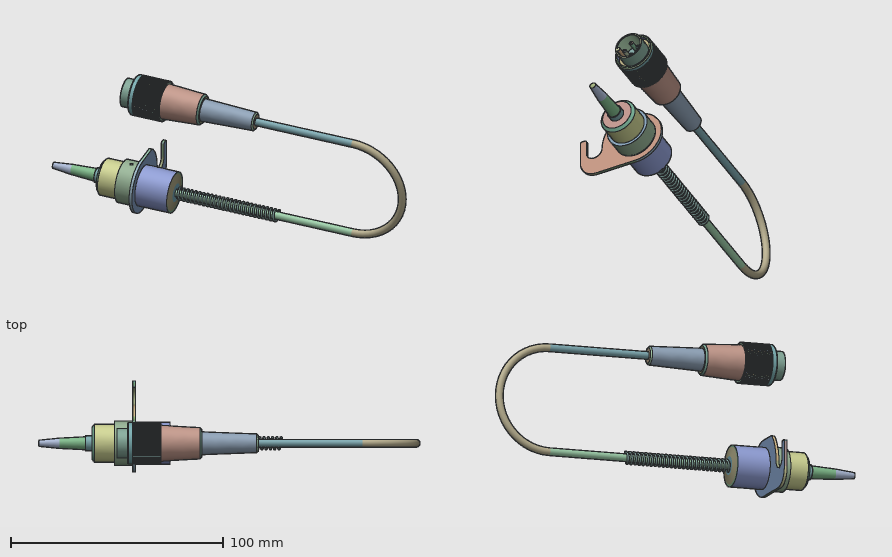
import cadquery as cq
import math

PLUG_HEIGHT = 50.1
TOTAL_LENGTH = 179.7

CABLE_DIA = 3.8

TIP_END_DIA = 3.0
TIP_DOME_HEIGHT = 0.4
TIP_MID_DIA = 5.0
TIP_BASE_DIA = 6.3
STEM_DIA = 7.2
TIP_MID_X = 10.0
STEM_X = 22.3

HOUSING_X = 25.2
NOSE_DIA = 18.0
NOSE_CHAMFER = 1.5
NOSE_CHAMFER_LENGTH = 1.3
COLLAR_X = 35.8
COLLAR_DIA = 21.0
REAR_DIA = 20.0
REAR_EDGE_X = 62.0
REAR_X = 62.9
REAR_FACE_DIA = 9.0
REAR_SHOULDER_DIA = 18.0
VENT_DIA = 1.5
VENT_DEPTH = 1.8
VENT_X = 40.0

BRACKET_X = 44.4
BRACKET_THICKNESS = 1.5
PLATE_DIA = 27.1
PLATE_RADIUS = PLATE_DIA / 2
PLATE_WIDTH = 43.0
HOOK_OUTER_Y = PLATE_WIDTH - PLATE_RADIUS
HOOK_CORNER_RADIUS = 8.5
HOOK_TOP_Z = 7.9
HOOK_ARM_WIDTH = 3.2
HOOK_END_FILLET = 0.9
SLOT_RADIUS = 4.1
SHOULDER_RADIUS = 2.7
FLANK_RADIUS = 18.0

SPRING_DIA = 6.3
SPRING_WIRE = 1.0
SPRING_LENGTH = 51.4
SPRING_TURNS = 25.5
SPRING_PITCH = SPRING_LENGTH / SPRING_TURNS

PLUG_JOINT_X = 57.7
SHELL_X = 37.0
SHELL_DIA = 13.8
SHELL_BORE_DIA = 12.2
SHELL_FLOOR_X = 45.6
KEY_DIA = 2.0
KEY_Y = 5.5
PIN_DIA = 2.0
PIN_CHAMFER = 0.49
PIN_CIRCLE_DIA = 7.0
PIN_X = 39.2
PIN_COUNT = 4

NUT_X = 41.9
NUT_DIA = 19.5
NUT_CHAMFER = 0.5
NUT_RECESS_DIA = 17.0
NUT_RECESS_DEPTH = 2.2
KNURL_X = 44.4
KNURL_DEPTH = 0.4
KNURL_TEETH = 80

BOOT_FRONT_DIA = 17.0
BOOT_STEP_DIA = 15.0
BOOT_STEP_X = 77.0
BOOT_STEP_CHAMFER = 0.9
RELIEF_FRONT_DIA = 11.0
RELIEF_END_DIA = 9.0
BOOT_END_X = 103.5
BOOT_END_CHAMFER = 0.7


def revolve_about_x(points, axis_z=0.0):
    """Solid of revolution about the line z = axis_z from (x, radius) points."""
    profile = cq.Workplane("XZ").polyline(points).close()
    return profile.revolve(360, (0, 0, 0), (1, 0, 0)).translate((0, 0, axis_z))


def rod(x_start, x_end, diameter, y=0.0, z=0.0):
    """Round rod along X."""
    section = cq.Workplane("YZ", origin=(x_start, y, z)).circle(diameter / 2)
    return section.extrude(x_end - x_start)


def arc_point(center_a, center_b, radius, angle):
    """Point of a circle at an angle from its first axis."""
    return (center_a + radius * math.cos(angle), center_b + radius * math.sin(angle))


def make_probe_tip():
    dome_angle = 2 * math.atan(2 * TIP_DOME_HEIGHT / TIP_END_DIA)
    dome_radius = TIP_END_DIA / 2 / math.sin(dome_angle)
    dome_middle = (
        dome_radius * (1 - math.cos(dome_angle / 2)),
        dome_radius * math.sin(dome_angle / 2),
    )
    profile = (
        cq.Workplane("XZ")
        .moveTo(0, 0)
        .threePointArc(dome_middle, (TIP_DOME_HEIGHT, TIP_END_DIA / 2))
        .lineTo(TIP_MID_X, TIP_MID_DIA / 2)
        .lineTo(STEM_X, TIP_BASE_DIA / 2)
        .lineTo(STEM_X, STEM_DIA / 2)
        .lineTo(HOUSING_X, STEM_DIA / 2)
        .lineTo(HOUSING_X, 0)
        .close()
    )
    return profile.revolve(360, (0, 0, 0), (1, 0, 0))


def make_housing():
    body = revolve_about_x([
        (HOUSING_X, 0),
        (HOUSING_X, NOSE_DIA / 2 - NOSE_CHAMFER),
        (HOUSING_X + NOSE_CHAMFER_LENGTH, NOSE_DIA / 2),
        (COLLAR_X, NOSE_DIA / 2),
        (COLLAR_X, COLLAR_DIA / 2),
        (BRACKET_X, COLLAR_DIA / 2),
        (BRACKET_X, REAR_DIA / 2),
        (REAR_EDGE_X, REAR_DIA / 2),
        (REAR_EDGE_X, REAR_SHOULDER_DIA / 2),
        (REAR_X, REAR_FACE_DIA / 2),
        (REAR_X, 0),
    ])
    vent = cq.Workplane("XY", origin=(VENT_X, 0, COLLAR_DIA / 2 - VENT_DEPTH))
    return body.cut(vent.circle(VENT_DIA / 2).extrude(2 * VENT_DEPTH))


def make_bracket():
    arm_inner_y = HOOK_OUTER_Y - HOOK_ARM_WIDTH
    slot_y = arm_inner_y - SLOT_RADIUS
    slot_inner_y = slot_y - SLOT_RADIUS
    flank_y = slot_inner_y - FLANK_RADIUS
    shoulder_z = PLATE_RADIUS - SHOULDER_RADIUS
    join_angle = math.asin(shoulder_z / (FLANK_RADIUS - SHOULDER_RADIUS))
    shoulder_y = flank_y + (FLANK_RADIUS - SHOULDER_RADIUS) * math.cos(join_angle)
    crown_angle = (join_angle + math.pi / 2) / 2
    corner_y = HOOK_OUTER_Y - HOOK_CORNER_RADIUS
    corner_z = HOOK_CORNER_RADIUS - PLATE_RADIUS
    plate = (
        cq.Workplane("YZ", origin=(BRACKET_X, 0, 0))
        .moveTo(0, -PLATE_RADIUS)
        .threePointArc((-PLATE_RADIUS, 0), (0, PLATE_RADIUS))
        .lineTo(shoulder_y, PLATE_RADIUS)
        .threePointArc(
            arc_point(shoulder_y, shoulder_z, SHOULDER_RADIUS, crown_angle),
            arc_point(shoulder_y, shoulder_z, SHOULDER_RADIUS, join_angle),
        )
        .threePointArc(arc_point(flank_y, 0, FLANK_RADIUS, join_angle / 2), (slot_inner_y, 0))
        .threePointArc((slot_y, -SLOT_RADIUS), (arm_inner_y, 0))
        .lineTo(arm_inner_y, HOOK_TOP_Z)
        .lineTo(HOOK_OUTER_Y, HOOK_TOP_Z)
        .lineTo(HOOK_OUTER_Y, corner_z)
        .threePointArc(
            arc_point(corner_y, corner_z, HOOK_CORNER_RADIUS, -math.pi / 4),
            (corner_y, -PLATE_RADIUS),
        )
        .close()
        .extrude(BRACKET_THICKNESS)
    )
    end_box = cq.selectors.BoxSelector(
        (BRACKET_X, arm_inner_y - HOOK_END_FILLET, HOOK_TOP_Z - HOOK_END_FILLET),
        (BRACKET_X + BRACKET_THICKNESS, HOOK_OUTER_Y + HOOK_END_FILLET, HOOK_TOP_Z + HOOK_END_FILLET),
    )
    plate = plate.edges("|X").edges(end_box).fillet(HOOK_END_FILLET)
    return plate.cut(rod(BRACKET_X, BRACKET_X + BRACKET_THICKNESS, REAR_DIA))


def make_spring():
    mean_radius = (SPRING_DIA - SPRING_WIRE) / 2
    path = cq.Wire.makeHelix(SPRING_PITCH, SPRING_LENGTH, mean_radius)
    wire = (
        cq.Workplane("XZ", origin=(mean_radius, 0, 0))
        .circle(SPRING_WIRE / 2)
        .sweep(cq.Workplane(path), isFrenet=True)
    )
    return wire.rotate((0, 0, 0), (0, 1, 0), 90).translate((REAR_X + SPRING_WIRE / 2, 0, 0))


def make_cable():
    bend_radius = PLUG_HEIGHT / 2
    bend_x = TOTAL_LENGTH - CABLE_DIA / 2 - bend_radius
    path = (
        cq.Workplane("XZ")
        .moveTo(REAR_X, 0)
        .lineTo(bend_x, 0)
        .threePointArc((bend_x + bend_radius, bend_radius), (bend_x, PLUG_HEIGHT))
        .lineTo(BOOT_END_X, PLUG_HEIGHT)
    )
    return cq.Workplane("YZ", origin=(REAR_X, 0, 0)).circle(CABLE_DIA / 2).sweep(path)


def make_contact_shell():
    shell = rod(SHELL_X, PLUG_JOINT_X, SHELL_DIA, z=PLUG_HEIGHT)
    shell = shell.cut(rod(SHELL_X, SHELL_FLOOR_X, SHELL_BORE_DIA, z=PLUG_HEIGHT))
    shell = shell.union(rod(SHELL_X, SHELL_FLOOR_X, KEY_DIA, KEY_Y, PLUG_HEIGHT))
    for index in range(PIN_COUNT):
        angle = 2 * math.pi * index / PIN_COUNT
        pin_y = PIN_CIRCLE_DIA / 2 * math.cos(angle)
        pin_z = PLUG_HEIGHT + PIN_CIRCLE_DIA / 2 * math.sin(angle)
        pin = rod(PIN_X, SHELL_FLOOR_X, PIN_DIA, pin_y, pin_z).faces("<X").chamfer(PIN_CHAMFER)
        shell = shell.union(pin)
    return shell


def make_coupling_nut():
    rim = rod(NUT_X, KNURL_X, NUT_DIA).faces("<X").edges().chamfer(NUT_CHAMFER)
    outline = []
    for index in range(2 * KNURL_TEETH):
        radius = NUT_DIA / 2 - KNURL_DEPTH * (index % 2)
        angle = math.pi * index / KNURL_TEETH
        outline.append((radius * math.cos(angle), radius * math.sin(angle)))
    grip = cq.Workplane("YZ", origin=(KNURL_X, 0, 0)).polyline(outline).close()
    nut = rim.union(grip.extrude(PLUG_JOINT_X - KNURL_X))
    nut = nut.cut(rod(NUT_X, PLUG_JOINT_X, SHELL_DIA))
    nut = nut.cut(rod(NUT_X, NUT_X + NUT_RECESS_DEPTH, NUT_RECESS_DIA))
    return nut.translate((0, 0, PLUG_HEIGHT))


def make_boot():
    return revolve_about_x([
        (PLUG_JOINT_X, 0),
        (PLUG_JOINT_X, BOOT_FRONT_DIA / 2),
        (BOOT_STEP_X - BOOT_STEP_CHAMFER, BOOT_STEP_DIA / 2),
        (BOOT_STEP_X, BOOT_STEP_DIA / 2 - BOOT_STEP_CHAMFER),
        (BOOT_STEP_X, RELIEF_FRONT_DIA / 2),
        (BOOT_END_X - BOOT_END_CHAMFER, RELIEF_END_DIA / 2),
        (BOOT_END_X, RELIEF_END_DIA / 2 - BOOT_END_CHAMFER),
        (BOOT_END_X, 0),
    ], PLUG_HEIGHT)


probe_tip = make_probe_tip()
housing = make_housing()
bracket = make_bracket()
spring = make_spring()
cable = make_cable()
contact_shell = make_contact_shell()
coupling_nut = make_coupling_nut()
boot = make_boot()

result = cq.Compound.makeCompound([
    probe_tip.val(),
    housing.val(),
    bracket.val(),
    spring.val(),
    cable.val(),
    contact_shell.val(),
    coupling_nut.val(),
    boot.val(),
])